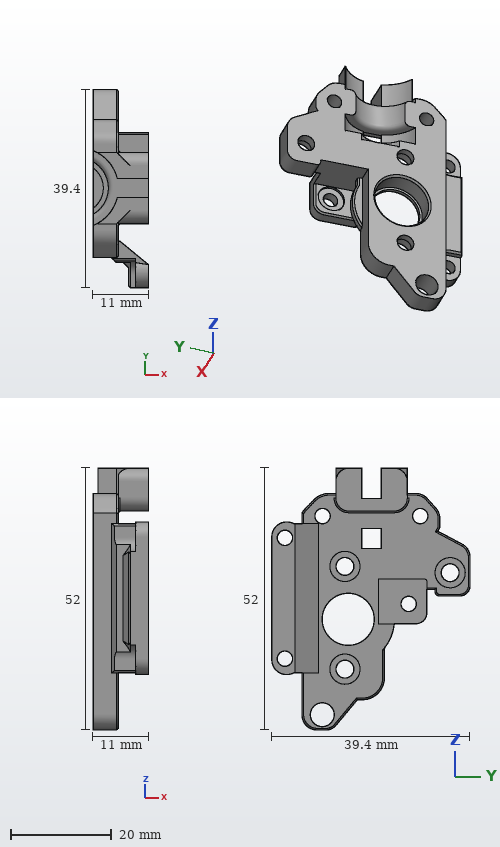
import cadquery as cq
import math


PLATE_T = 5.0
DEPTH = 11.0
EDGE_CHAMFER = 0.35
PLATE_TOP = 47.0
PLATE_RIGHT = -9.2
PLATE_LEFT = 24.22
ARM_BOTTOM = 27.9
STEM_LEFT = 7.2
PLATE_OUTLINE = [
    (PLATE_RIGHT, 0.0, 3.0),
    (-3.2, 0.0, 2.5),
    (1.8, 6.0, 0.0),
    (STEM_LEFT, 6.0, 4.4),
    (STEM_LEFT, ARM_BOTTOM, 0.0),
    (17.2, ARM_BOTTOM, 0.0),
    (17.2, 26.6, 0.9),
    (PLATE_LEFT, 26.6, 2.1),
    (PLATE_LEFT, 36.1, 3.0),
    (17.8, 39.5, 0.0),
    (18.2, 40.2, 0.8),
    (18.2, 43.2, 3.0),
    (14.8, PLATE_TOP, 3.0),
    (-5.6, PLATE_TOP, 4.1),
    (-8.8, 43.7, 6.0),
    (PLATE_RIGHT, 43.1, 0.0),
]

TOP_HOLES = [(14.3, 42.5), (-5.1, 42.5)]
TOP_HOLE_D = 3.0
SCREW_HOLES = [(-0.65, 32.5, 1.55), (-0.65, 12.1, 1.55), (20.24, 31.25, 2.0)]
SCREW_HOLE_D = 3.5
SCREW_HEAD_D = 6.0
PIVOT_HOLE = (-5.15, 3.05)
PIVOT_HOLE_D = 4.7

BORE_Z = 22.0
SEAT_D = 11.3
LIP_D = 10.3
SEAT_DEPTH = 4.2
BORE_CHAMFER = 0.4
RIM_R = 9.2
RIM_FRONT_X = 3.5
RIM_STRAIGHT_Y = 8.15

POCKET_X = -3.0
POCKET_Y = 4.63
POCKET_R = 8.0
POCKET_FLOOR = 36.1
RING_R = 6.0
RING_BOTTOM = 40.0
RING_TOP = 46.0
RING_FILLET = 1.0
RECESS_R = 5.0
RECESS_FLOOR = 34.7
SLOT_W = 3.8

BLOCK_TOP = 52.0
BLOCK_BOTTOM = 43.5
BLOCK_HALF_W = 7.1
BLOCK_FRONT_X = 0.9
BLOCK_FILLET = 2.6
CHEEK_TAPER = 2.85
COLLAR = 0.35

FLANGE_RIGHT = -15.2
FLANGE_BOTTOM = 11.0
FLANGE_TOP = 41.35
FLANGE_MID_Z = (FLANGE_BOTTOM + FLANGE_TOP) / 2
EAR_R = 3.0
EAR_R_RELIEF = 0.01
EAR_SEAT_X = 8.4
EAR_HOLE_Y = -12.57
EAR_HOLE_DZ = 12.0
EAR_HOLE_D = 3.0
EAR_HEAD_D = 5.5
WEB_HALF_H = FLANGE_TOP - FLANGE_MID_Z - EDGE_CHAMFER
WEB_WALL_Y = -10.17
BACK_OUTER_Y = -10.6
BACK_INNER_X = 5.3
BACK_INNER_Y = -5.9
WEB_CHAMFER = 0.5
WEB_FRONT_X = 3.6
BAR_X = 7.0
BAR_BEVEL_DEPTH = 1.07
BAR_BEVEL_RUN = 1.03
BAR_CHAMFER = 0.4
BAR_CONE_DEPTH = 1.6

LUG_LEFT = 15.64
LUG_RIGHT = 6.0
LUG_BOTTOM = 21.1
LUG_TOP = 30.0
LUG_CORNER_R = 2.2
LUG_HOLE = (12.0, 25.05)
LUG_HOLE_D = 3.0
LUG_HEAD_D = 5.5
LUG_HEAD_DEPTH = 0.5

BIG = 60.0


def yz_plane(x):
    """Sketch plane at the given x whose local axes are the part's Y and Z."""
    return cq.Workplane("YZ", origin=(x, 0, 0))


def rounded_outline(plane, corners):
    """Closed outline through (u, v, radius) corners, each rounded by a tangent arc."""
    stretches = []
    for i, (u, v, radius) in enumerate(corners):
        if radius == 0:
            stretches.append([(u, v)])
            continue
        before = corners[i - 1]
        after = corners[(i + 1) % len(corners)]
        angle_in = math.atan2(before[1] - v, before[0] - u)
        angle_out = math.atan2(after[1] - v, after[0] - u)
        half = abs(math.remainder(angle_out - angle_in, 2 * math.pi)) / 2
        bisector = angle_in + math.remainder(angle_out - angle_in, 2 * math.pi) / 2
        tangent = radius / math.tan(half)
        apex = radius / math.sin(half) - radius
        start = (u + tangent * math.cos(angle_in), v + tangent * math.sin(angle_in))
        middle = (u + apex * math.cos(bisector), v + apex * math.sin(bisector))
        end = (u + tangent * math.cos(angle_out), v + tangent * math.sin(angle_out))
        stretches.append([start, middle, end])
    outline = plane.moveTo(*stretches[0][-1])
    for stretch in stretches[1:] + stretches[:1]:
        outline = outline.lineTo(*stretch[0])
        if len(stretch) > 1:
            outline = outline.threePointArc(stretch[1], stretch[2])
    return outline.close()


def x_cylinder(y, z, diameter, x_start, x_end):
    return yz_plane(x_start).center(y, z).circle(diameter / 2).extrude(x_end - x_start)


def block(x_range, y_range, z_range):
    size = [high - low for low, high in (x_range, y_range, z_range)]
    corner = (x_range[0], y_range[0], z_range[0])
    return cq.Workplane("XY").box(*size, centered=False).translate(corner)


def make_plate():
    plate = rounded_outline(yz_plane(0), PLATE_OUTLINE).extrude(PLATE_T)
    return plate.faces(">X").edges().chamfer(EDGE_CHAMFER)


def make_rim():
    """Round rim around the bore, with a straight shoulder up to the arm."""
    disc = x_cylinder(0, BORE_Z, 2 * RIM_R, RIM_FRONT_X, PLATE_T)
    disc = disc.faces("<X").edges().chamfer(EDGE_CHAMFER)
    disc = disc.intersect(block((0, PLATE_T), (0, BIG), (0, BIG)))
    shoulder = block((RIM_FRONT_X, PLATE_T), (0, RIM_STRAIGHT_Y), (BORE_Z, ARM_BOTTOM + 1))
    shoulder = shoulder.edges("<X and >Y").chamfer(EDGE_CHAMFER)
    return disc.union(shoulder)


def make_clamp_block():
    """Rounded pad with square cheeks that taper inwards behind the plate."""
    y_low = POCKET_Y - BLOCK_HALF_W
    y_high = POCKET_Y + BLOCK_HALF_W
    pad = block((PLATE_T, DEPTH), (y_low, y_high), (BLOCK_BOTTOM, BLOCK_TOP))
    pad = pad.edges("|X").fillet(BLOCK_FILLET)
    taper_start = PLATE_T - EDGE_CHAMFER
    taper_end = taper_start + CHEEK_TAPER
    cheeks = (
        cq.Workplane("XY", origin=(0, 0, RING_TOP))
        .polyline([
            (BLOCK_FRONT_X, y_low),
            (taper_start, y_low),
            (taper_end, y_low + CHEEK_TAPER),
            (taper_end, y_high - CHEEK_TAPER),
            (taper_start, y_high),
            (BLOCK_FRONT_X, y_high),
        ])
        .close()
        .extrude(BLOCK_TOP - RING_TOP)
    )
    return pad.union(cheeks).union(make_collar(y_low, y_high))


def make_collar(y_low, y_high):
    """Bevelled collar around the lower half of the pad, where it leaves the plate."""
    corner_r = BLOCK_FILLET + COLLAR
    corners = [
        (y_low - COLLAR, BLOCK_BOTTOM - COLLAR, corner_r),
        (y_high + COLLAR, BLOCK_BOTTOM - COLLAR, corner_r),
        (y_high + COLLAR, BLOCK_TOP, 0),
        (y_low - COLLAR, BLOCK_TOP, 0),
    ]
    collar = rounded_outline(yz_plane(PLATE_T), corners).extrude(COLLAR, taper=45)
    return collar.intersect(block((0, DEPTH), (-BIG, BIG), (0, BLOCK_BOTTOM + BLOCK_FILLET)))


def pocket_cylinder(radius, z_low, z_high):
    plane = cq.Workplane("XY", origin=(POCKET_X, POCKET_Y, z_low))
    return plane.circle(radius).extrude(z_high - z_low)


def make_pocket_cutter():
    """Stepped vertical bore, with a rounded ring, and the slots behind it."""
    ring_gap = (
        cq.Workplane("XZ", origin=(POCKET_X, POCKET_Y, 0))
        .moveTo(0, RING_BOTTOM)
        .lineTo(RING_R + RING_FILLET, RING_BOTTOM)
        .radiusArc((RING_R, RING_BOTTOM + RING_FILLET), RING_FILLET)
        .lineTo(RING_R, RING_TOP - RING_FILLET)
        .radiusArc((RING_R + RING_FILLET, RING_TOP), RING_FILLET)
        .lineTo(0, RING_TOP)
        .close()
        .revolve(360, (0, 0, 0), (0, 1, 0))
    )
    slot_y = (POCKET_Y - SLOT_W / 2, POCKET_Y + SLOT_W / 2)
    cutter = pocket_cylinder(RECESS_R, RECESS_FLOOR, RING_BOTTOM)
    cutter = cutter.union(pocket_cylinder(POCKET_R, POCKET_FLOOR, RING_BOTTOM))
    cutter = cutter.union(pocket_cylinder(POCKET_R, RING_TOP, BLOCK_TOP)).union(ring_gap)
    cutter = cutter.union(block((0, DEPTH), slot_y, (POCKET_FLOOR, RING_BOTTOM)))
    return cutter.union(block((0, DEPTH), slot_y, (RING_TOP, BLOCK_TOP)))


def head_recess(x, height, taper=0):
    """Screw-head recess around the upper ear hole, open outwards and upwards."""
    radius = EAR_HEAD_D / 2
    z = FLANGE_MID_Z + EAR_HOLE_DZ
    diagonal = radius * math.sqrt(0.5)
    outline = (
        yz_plane(x)
        .moveTo(EAR_HOLE_Y + radius, z)
        .threePointArc((EAR_HOLE_Y + diagonal, z - diagonal), (EAR_HOLE_Y, z - radius))
        .lineTo(EAR_HOLE_Y - EAR_HEAD_D, z - radius)
        .lineTo(EAR_HOLE_Y - EAR_HEAD_D, z + EAR_HEAD_D)
        .lineTo(EAR_HOLE_Y + radius, z + EAR_HEAD_D)
        .close()
    )
    return outline.extrude(height, taper=taper)


def both_ends(shape):
    """The shape together with its mirror image about the flange's middle height."""
    return shape.union(shape.mirror("XY", (0, 0, FLANGE_MID_Z)))


def flange_prism(points, half_height):
    plane = cq.Workplane("XY", origin=(0, 0, FLANGE_MID_Z - half_height))
    return plane.polyline(points).close().extrude(2 * half_height)


def make_flange():
    """Slanted web with a bar along its outer edge and a screw ear at each end."""
    chamfer_run = PLATE_RIGHT - WEB_WALL_Y
    web = flange_prism(
        [
            (WEB_FRONT_X, PLATE_RIGHT),
            (WEB_FRONT_X + chamfer_run, WEB_WALL_Y),
            (EAR_SEAT_X, WEB_WALL_Y),
            (DEPTH, BACK_OUTER_Y),
            (BACK_INNER_X, BACK_INNER_Y),
            (WEB_FRONT_X, BACK_INNER_Y),
        ],
        WEB_HALF_H,
    )

    wall_y = EAR_HOLE_Y + EAR_HEAD_D / 2
    corner_cut = (
        yz_plane(0)
        .polyline([
            (wall_y + WEB_CHAMFER, FLANGE_MID_Z + WEB_HALF_H),
            (wall_y - WEB_CHAMFER, FLANGE_MID_Z + WEB_HALF_H - 2 * WEB_CHAMFER),
            (wall_y - WEB_CHAMFER, FLANGE_MID_Z + WEB_HALF_H),
        ])
        .close()
        .extrude(EAR_SEAT_X)
    )
    recess = head_recess(0, EAR_SEAT_X)
    web = web.cut(both_ends(corner_cut)).cut(both_ends(recess))

    bar = flange_prism(
        [
            (BAR_X - BAR_BEVEL_DEPTH, WEB_WALL_Y),
            (BAR_X, WEB_WALL_Y - BAR_BEVEL_RUN),
            (BAR_X, FLANGE_RIGHT + BAR_CHAMFER),
            (BAR_X + BAR_CHAMFER, FLANGE_RIGHT),
            (EAR_SEAT_X, FLANGE_RIGHT),
            (EAR_SEAT_X, WEB_WALL_Y),
        ],
        WEB_HALF_H,
    )
    flare = head_recess(0, -BAR_CONE_DEPTH, taper=-45).translate((BAR_X + BAR_CHAMFER, 0, 0))
    bar = bar.cut(both_ends(recess)).cut(both_ends(flare))

    back_slope = (BACK_INNER_Y - BACK_OUTER_Y) / (DEPTH - BACK_INNER_X)
    slab = flange_prism(
        [
            (EAR_SEAT_X, FLANGE_RIGHT),
            (DEPTH, FLANGE_RIGHT),
            (DEPTH, BACK_OUTER_Y),
            (EAR_SEAT_X, BACK_OUTER_Y + back_slope * (DEPTH - EAR_SEAT_X)),
        ],
        FLANGE_TOP - FLANGE_MID_Z,
    )
    outline = block((0, DEPTH), (FLANGE_RIGHT, FLANGE_RIGHT + 2 * EAR_R), (FLANGE_BOTTOM, FLANGE_TOP))
    slab = slab.intersect(outline.edges("|X").fillet(EAR_R - EAR_R_RELIEF))

    flange = web.union(bar).union(slab)
    hole = x_cylinder(EAR_HOLE_Y, FLANGE_MID_Z + EAR_HOLE_DZ, EAR_HOLE_D, 0, DEPTH)
    return flange.cut(both_ends(hole))


def make_lug():
    """Ear set back behind the arm, joined to it by a web."""
    lug = block((EAR_SEAT_X, DEPTH), (LUG_RIGHT, LUG_LEFT), (LUG_BOTTOM, LUG_TOP))
    lug = lug.edges("|X and >Y and <Z").fillet(LUG_CORNER_R)
    lug = lug.faces("<X").edges(">Y or <Z").chamfer(EDGE_CHAMFER)
    web = block((PLATE_T - EDGE_CHAMFER, EAR_SEAT_X + 1), (LUG_RIGHT, LUG_LEFT), (ARM_BOTTOM, LUG_TOP))
    lug = lug.edges("|X and >Y and >Z").chamfer(EDGE_CHAMFER)
    lug = lug.union(web.edges("|X and >Y and >Z").chamfer(EDGE_CHAMFER))
    lug = lug.cut(x_cylinder(*LUG_HOLE, LUG_HOLE_D, 0, DEPTH))
    return lug.cut(x_cylinder(*LUG_HOLE, LUG_HEAD_D, 0, EAR_SEAT_X + LUG_HEAD_DEPTH))


def cut_plate_holes(body):
    for y, z in TOP_HOLES:
        body = body.cut(x_cylinder(y, z, TOP_HOLE_D, 0, PLATE_T))
    for y, z, head_x in SCREW_HOLES:
        body = body.cut(x_cylinder(y, z, SCREW_HOLE_D, 0, PLATE_T))
        body = body.cut(x_cylinder(y, z, SCREW_HEAD_D, head_x, PLATE_T))
    body = body.cut(x_cylinder(*PIVOT_HOLE, PIVOT_HOLE_D, 0, PLATE_T))
    seat = x_cylinder(0, BORE_Z, SEAT_D, 0, SEAT_DEPTH)
    mouth_circle = yz_plane(0).center(0, BORE_Z).circle(SEAT_D / 2 + BORE_CHAMFER)
    mouth = mouth_circle.extrude(BORE_CHAMFER, taper=45)
    return body.cut(seat).cut(mouth).cut(x_cylinder(0, BORE_Z, LIP_D, 0, PLATE_T))


body = make_plate().union(make_rim()).union(make_clamp_block())
body = body.cut(make_pocket_cutter())
body = cut_plate_holes(body)
result = body.union(make_flange()).union(make_lug())